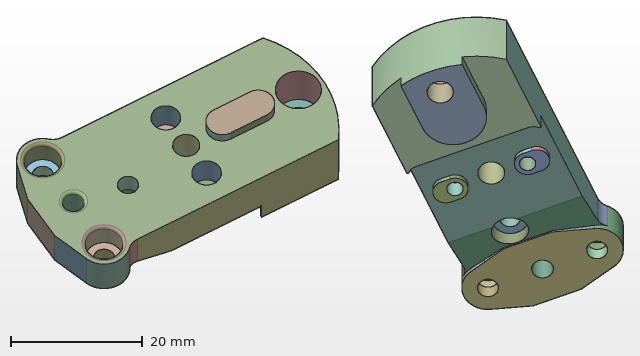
import cadquery as cq
import math

EAR_THICKNESS = 6.5
PLATE_THICKNESS = 7.55
BLOCK_THICKNESS = 10.45
TOP_KEY_HEIGHT = 1.65
BOTTOM_BOSS_HEIGHT = 2.05
SLOT_PAD_HEIGHT = 0.9
OVERLAP = 0.5

LENGTH = 49.85
HALF_WIDTH = 11.05
SHOULDER_Y = 46.1
EAR_RADIUS = 4.0
EAR_X = 26.0 / 2 - EAR_RADIUS
EAR_Y = 5.75
NECK_RADIUS = 2.75
NOSE_HALF_WIDTH = 4.0

BLOCK_FRONT_Y = 32.5
RAMP_START_Y = 16.45
RAMP_SLOPE = 0.28

RELIEF_DEPTH = 0.7
RELIEF_RADIUS = 2.0
RELIEF_HALF_WIDTH = 9.2

KEY_WIDTH = 5.0
KEY_LENGTH = 11.35
KEY_Y = 35.4
BOSS_WIDTH = 10.1
BOSS_CENTER_Y = 40.7
SLOT_PAD_WIDTH = 4.0
SLOT_PAD_SPAN = 1.5

PIN_Y = 25.8
PIN_X = 6.0
PIN_HOLE = 2.5
PIN_COUNTERBORE = 4.5
PIN_COUNTERBORE_DEPTH = 5.0
CENTER_HOLE = 4.1
END_Y = 45.7
END_HOLE = 4.0
END_COUNTERBORE = 7.0
END_COUNTERBORE_DEPTH = 7.5
OFFSET_X = 1.7
OFFSET_Y = 14.4
OFFSET_HOLE = 3.2
OFFSET_COUNTERBORE = 5.7
OFFSET_COUNTERBORE_TOP = -3.5
EAR_HOLE = 3.2
EAR_COUNTERBORE = 5.7
EAR_COUNTERBORE_DEPTH = 4.0
NOSE_HOLE = 3.3
RIM_RADIUS = 0.5


def ear_point(angle):
    """Point on the right ear circle."""
    return EAR_X + EAR_RADIUS * math.cos(angle), EAR_Y + EAR_RADIUS * math.sin(angle)


def mirror_x(point):
    return -point[0], point[1]


def flip_y(point):
    """Mirror a point across the line through the ear centres."""
    return point[0], 2 * EAR_Y - point[1]


def cylinder(x, y, diameter, bottom, top):
    plane = cq.Workplane("XY", origin=(x, y, bottom))
    return plane.circle(diameter / 2).extrude(top - bottom)


nose = (NOSE_HALF_WIDTH, 0.0)
nose_distance = math.hypot(nose[0] - EAR_X, nose[1] - EAR_Y)
nose_direction = math.atan2(nose[1] - EAR_Y, nose[0] - EAR_X)
tangent_angle = nose_direction + math.acos(EAR_RADIUS / nose_distance)
tangent = ear_point(tangent_angle)

neck_x = HALF_WIDTH + NECK_RADIUS
neck_angle = math.acos((neck_x - EAR_X) / (EAR_RADIUS + NECK_RADIUS))
neck_y = EAR_Y + (EAR_RADIUS + NECK_RADIUS) * math.sin(neck_angle)
neck_end = ear_point(neck_angle)
neck_mid_angle = math.pi + neck_angle / 2
neck_mid = (
    neck_x + NECK_RADIUS * math.cos(neck_mid_angle),
    neck_y + NECK_RADIUS * math.sin(neck_mid_angle),
)
ear_mid = ear_point((tangent_angle + neck_angle) / 2)
ear_outer = ear_point(0)


def plan_outline():
    return (
        cq.Workplane("XY")
        .moveTo(*mirror_x(nose))
        .lineTo(*nose)
        .lineTo(*tangent)
        .threePointArc(ear_mid, neck_end)
        .threePointArc(neck_mid, (HALF_WIDTH, neck_y))
        .lineTo(HALF_WIDTH, SHOULDER_Y)
        .threePointArc((0, LENGTH), (-HALF_WIDTH, SHOULDER_Y))
        .lineTo(-HALF_WIDTH, neck_y)
        .threePointArc(mirror_x(neck_mid), mirror_x(neck_end))
        .threePointArc(mirror_x(ear_mid), mirror_x(tangent))
        .close()
    )


def stepped_body():
    """Plan outline trimmed to the stepped and ramped side profile."""
    ramp_end_z = -PLATE_THICKNESS + RAMP_SLOPE * (RAMP_START_Y - EAR_Y)
    profile = (
        cq.Workplane("YZ")
        .moveTo(EAR_Y, 0)
        .lineTo(EAR_Y, ramp_end_z)
        .lineTo(RAMP_START_Y, -PLATE_THICKNESS)
        .lineTo(BLOCK_FRONT_Y, -PLATE_THICKNESS)
        .lineTo(BLOCK_FRONT_Y, -BLOCK_THICKNESS)
        .lineTo(LENGTH, -BLOCK_THICKNESS)
        .lineTo(LENGTH, 0)
        .close()
        .extrude(2 * EAR_X, both=True)
    )
    return plan_outline().extrude(-BLOCK_THICKNESS).intersect(profile)


def ear_plate():
    """Plate joining both ears, symmetric about the line through their centres."""
    return (
        cq.Workplane("XY")
        .moveTo(*mirror_x(nose))
        .lineTo(*nose)
        .lineTo(*tangent)
        .threePointArc(ear_outer, flip_y(tangent))
        .lineTo(*flip_y(nose))
        .lineTo(*mirror_x(flip_y(nose)))
        .lineTo(*mirror_x(flip_y(tangent)))
        .threePointArc(mirror_x(ear_outer), mirror_x(tangent))
        .close()
        .extrude(-EAR_THICKNESS)
    )


def block_relief():
    """Shallow cut with rounded ends in the front face of the thick block."""
    arc_angle = math.acos(1 - RELIEF_DEPTH / RELIEF_RADIUS)
    mouth = RELIEF_HALF_WIDTH + RELIEF_RADIUS * math.sin(arc_angle)
    mid_x = RELIEF_HALF_WIDTH + RELIEF_RADIUS * math.sin(arc_angle / 2)
    wall_y = BLOCK_FRONT_Y + RELIEF_DEPTH
    mid_y = wall_y - RELIEF_RADIUS * (1 - math.cos(arc_angle / 2))
    return (
        cq.Workplane("XY", origin=(0, 0, -BLOCK_THICKNESS))
        .moveTo(-mouth, BLOCK_FRONT_Y)
        .lineTo(mouth, BLOCK_FRONT_Y)
        .threePointArc((mid_x, mid_y), (RELIEF_HALF_WIDTH, wall_y))
        .lineTo(-RELIEF_HALF_WIDTH, wall_y)
        .threePointArc((-mid_x, mid_y), (-mouth, BLOCK_FRONT_Y))
        .close()
        .extrude(BLOCK_THICKNESS - PLATE_THICKNESS)
    )


def top_key():
    return (
        cq.Workplane("XY", origin=(0, KEY_Y, -OVERLAP))
        .slot2D(KEY_LENGTH, KEY_WIDTH, 90)
        .extrude(TOP_KEY_HEIGHT + OVERLAP)
    )


def bottom_boss():
    """Boss with a round front, running back to the curved end of the block."""
    bottom = -BLOCK_THICKNESS - BOTTOM_BOSS_HEIGHT
    height = BOTTOM_BOSS_HEIGHT + OVERLAP
    straight_length = LENGTH - BOSS_CENTER_Y
    straight = (
        cq.Workplane("XY", origin=(0, BOSS_CENTER_Y + straight_length / 2, bottom))
        .rect(BOSS_WIDTH, straight_length)
        .extrude(height)
    )
    boss = straight.union(cylinder(0, BOSS_CENTER_Y, BOSS_WIDTH, bottom, bottom + height))
    limit = plan_outline().extrude(bottom)
    return boss.intersect(limit)


def slot_pad(side):
    """Raised pad under a pin hole, stretched outwards from the hole."""
    bottom = -PLATE_THICKNESS - SLOT_PAD_HEIGHT
    return (
        cq.Workplane("XY", origin=(side * (PIN_X + SLOT_PAD_SPAN / 2), PIN_Y, bottom))
        .slot2D(SLOT_PAD_SPAN + SLOT_PAD_WIDTH, SLOT_PAD_WIDTH)
        .extrude(SLOT_PAD_HEIGHT + OVERLAP)
    )


def through_hole(x, y, diameter):
    return cylinder(x, y, diameter, -BLOCK_THICKNESS - BOTTOM_BOSS_HEIGHT, 0)


def rounded_rim(x, y, diameter):
    """Cutter that rounds over the top edge of a hole."""
    radius = diameter / 2
    rim = radius + RIM_RADIUS
    mid_offset = RIM_RADIUS * math.sqrt(0.5)
    return (
        cq.Workplane("XZ", origin=(x, y, 0))
        .lineTo(rim, 0)
        .threePointArc((rim - mid_offset, mid_offset - RIM_RADIUS), (radius, -RIM_RADIUS))
        .lineTo(0, -RIM_RADIUS)
        .close()
        .revolve(360, (0, 0), (0, 1))
    )


result = stepped_body().union(ear_plate()).cut(block_relief())
result = result.union(top_key()).union(bottom_boss())

for side in (-1, 1):
    pin_x = side * PIN_X
    ear_x = side * EAR_X
    result = result.union(slot_pad(side))
    result = result.cut(through_hole(pin_x, PIN_Y, PIN_HOLE))
    result = result.cut(cylinder(pin_x, PIN_Y, PIN_COUNTERBORE, -PIN_COUNTERBORE_DEPTH, 0))
    result = result.cut(through_hole(ear_x, EAR_Y, EAR_HOLE))
    result = result.cut(cylinder(ear_x, EAR_Y, EAR_COUNTERBORE, -EAR_COUNTERBORE_DEPTH, 0))
    result = result.cut(rounded_rim(ear_x, EAR_Y, EAR_COUNTERBORE))

result = result.cut(through_hole(0, END_Y, END_HOLE))
result = result.cut(cylinder(0, END_Y, END_COUNTERBORE, -END_COUNTERBORE_DEPTH, 0))
result = result.cut(through_hole(0, PIN_Y, CENTER_HOLE))
result = result.cut(through_hole(0, EAR_Y, NOSE_HOLE))
result = result.cut(rounded_rim(0, EAR_Y, NOSE_HOLE))

result = result.cut(through_hole(OFFSET_X, OFFSET_Y, OFFSET_HOLE))
result = result.cut(
    cylinder(OFFSET_X, OFFSET_Y, OFFSET_COUNTERBORE, -PLATE_THICKNESS, OFFSET_COUNTERBORE_TOP)
)